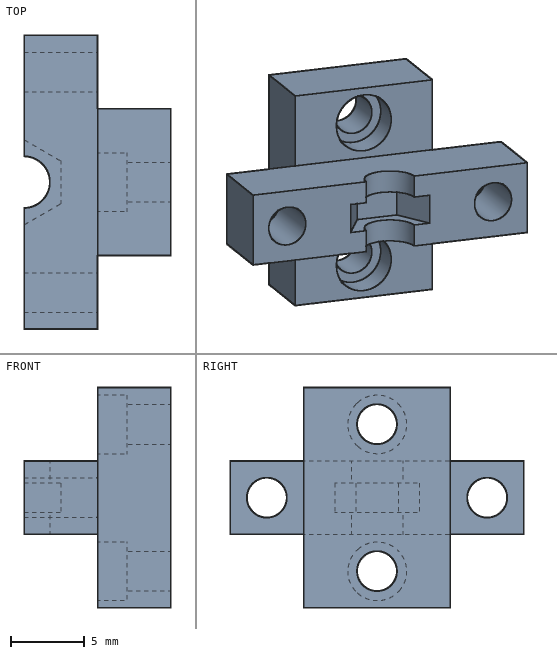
import cadquery as cq
import math

thickness = 5.0
bar_length = 20.0
bar_height = 5.0
plate_width = 10.0
plate_height = 15.0
hole_diameter = 2.7
bar_hole_spacing = 15.0
plate_hole_spacing = 10.0
counterbore_diameter = 4.0
counterbore_depth = 2.0
groove_diameter = 3.5
nut_across_flats = 5.0
nut_height = 2.0

nut_sides = 6
nut_across_corners = nut_across_flats / math.cos(math.pi / nut_sides)


def make_body():
    """Horizontal bar in front of an upright plate, centred on Y and Z."""
    bar = cq.Workplane("XY").box(thickness, bar_length, bar_height)
    plate = cq.Workplane("XY").box(thickness, plate_width, plate_height)
    return bar.union(plate.translate((thickness, 0, 0)))


def make_cylinder_x(diameter, length, start_x, y, z):
    """Cylinder running along +X from start_x."""
    plane = cq.Workplane("YZ", origin=(start_x, y, z))
    return plane.circle(diameter / 2).extrude(length)


front_x = -thickness / 2
plate_front_x = thickness / 2
body = make_body()

for side in (-1, 1):
    bar_hole_y = side * bar_hole_spacing / 2
    body = body.cut(make_cylinder_x(hole_diameter, thickness, front_x, bar_hole_y, 0))

    plate_hole_z = side * plate_hole_spacing / 2
    body = body.cut(make_cylinder_x(hole_diameter, thickness, plate_front_x, 0, plate_hole_z))
    body = body.cut(
        make_cylinder_x(counterbore_diameter, counterbore_depth, plate_front_x, 0, plate_hole_z)
    )

groove_plane = cq.Workplane("XY", origin=(front_x, 0, -bar_height / 2))
groove = groove_plane.circle(groove_diameter / 2).extrude(bar_height)

nut_plane = cq.Workplane("XY", origin=(front_x, 0, -nut_height / 2))
nut_plane = nut_plane.transformed(rotate=(0, 0, 90))
nut_pocket = nut_plane.polygon(nut_sides, nut_across_corners).extrude(nut_height)

result = body.cut(groove).cut(nut_pocket)